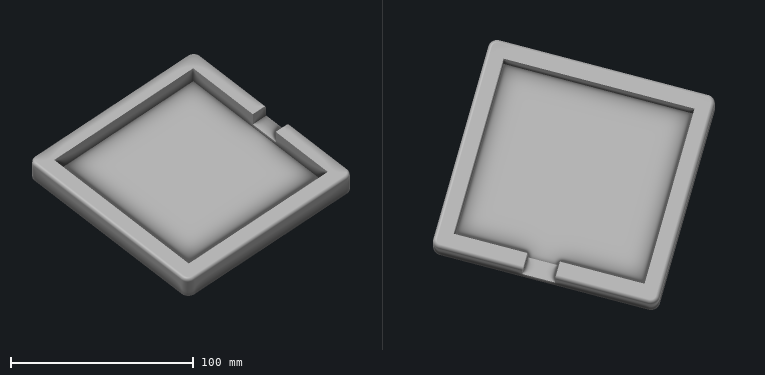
import cadquery as cq

length = 128.5
width = 123.7
height = 13.0
corner_radius = 5.0
top_edge_radius = 2.0

wall = 10.0
pocket_depth = 10.0
pocket_length = length - 2 * wall
pocket_width = width - 2 * wall

notch_length = 18.5
notch_offset = 3.1
notch_depth = 8.0


def make_block():
    """Block with rounded vertical corners and a rounded top rim, standing on Z = 0."""
    block = cq.Workplane("XY").box(length, width, height, centered=(True, True, False))
    block = block.edges("|Z").fillet(corner_radius)
    return block.faces(">Z").edges().fillet(top_edge_radius)


def make_pocket():
    """Volume removed to leave a flat floor inside the walls."""
    floor = cq.Workplane("XY").workplane(offset=height - pocket_depth)
    return floor.rect(pocket_length, pocket_width).extrude(pocket_depth)


def make_notch():
    """Volume removed from the +Y wall, between the pocket and the outside."""
    sill = cq.Workplane("XY").workplane(offset=height - notch_depth)
    wall_center = (width - wall) / 2
    return sill.center(notch_offset, wall_center).rect(notch_length, wall).extrude(notch_depth)


result = make_block().cut(make_pocket()).cut(make_notch())